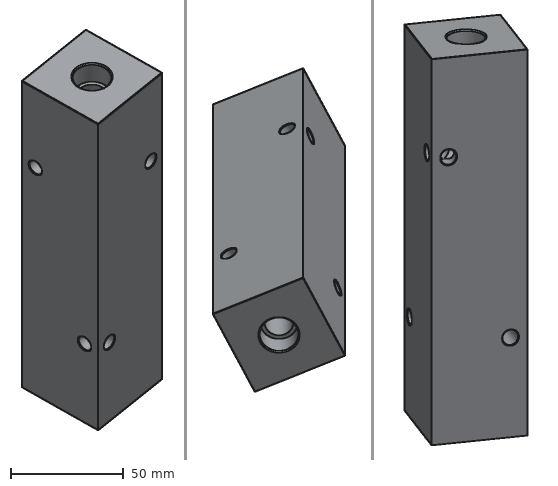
import cadquery as cq

length = 184.2
width = 44.4
edge_chamfer = 0.22

bore_diameter = 12.7
port_diameter = 17.1
port_depth = 10.5
port_taper = 1 / 16
mouth_chamfer = 0.65

cross_hole_diameter = 7.2
cross_hole_chamfer = 0.4
cross_hole_inset = 8.0
cross_hole_spacing = 89.0

cross_hole_offset = width / 2 - cross_hole_inset
upper_hole_z = (length + cross_hole_spacing) / 2
lower_hole_z = (length - cross_hole_spacing) / 2


def make_bar():
    """Square bar with all of its edges lightly chamfered."""
    bar = cq.Workplane("XY").box(width, width, length, centered=(True, True, False))
    return bar.edges().chamfer(edge_chamfer)


def make_bore():
    """Through bore with a tapered, chamfered port at each end."""
    bore_radius = bore_diameter / 2
    port_radius = port_diameter / 2
    floor_radius = port_radius - (port_depth - mouth_chamfer) * port_taper / 2
    lower_half = (
        cq.Workplane("XZ")
        .moveTo(0, 0)
        .lineTo(port_radius + mouth_chamfer, 0)
        .lineTo(port_radius, mouth_chamfer)
        .lineTo(floor_radius, port_depth)
        .lineTo(bore_radius, port_depth)
        .lineTo(bore_radius, length / 2)
        .lineTo(0, length / 2)
        .close()
        .revolve(360, (0, 0, 0), (0, 1, 0))
    )
    upper_half = lower_half.mirror("XY", (0, 0, length / 2))
    return lower_half.union(upper_half)


def make_cross_hole(x, z):
    """Hole along Y through the bar, widened by a chamfer at both mouths."""
    radius = cross_hole_diameter / 2
    mouth_radius = radius + cross_hole_chamfer
    half_width = width / 2
    straight_end = half_width - cross_hole_chamfer
    profile = [
        (0, -half_width),
        (mouth_radius, -half_width),
        (radius, -straight_end),
        (radius, straight_end),
        (mouth_radius, half_width),
        (0, half_width),
    ]
    hole = cq.Workplane("XY").polyline(profile).close().revolve(360, (0, 0, 0), (0, 1, 0))
    return hole.translate((x, 0, z))


upper_hole = make_cross_hole(-cross_hole_offset, upper_hole_z)
lower_hole = make_cross_hole(cross_hole_offset, lower_hole_z)
holes_along_y = upper_hole.union(lower_hole)

holes_along_x = holes_along_y.rotate((0, 0, 0), (0, 0, 1), -90)

result = make_bar().cut(make_bore()).cut(holes_along_y).cut(holes_along_x)